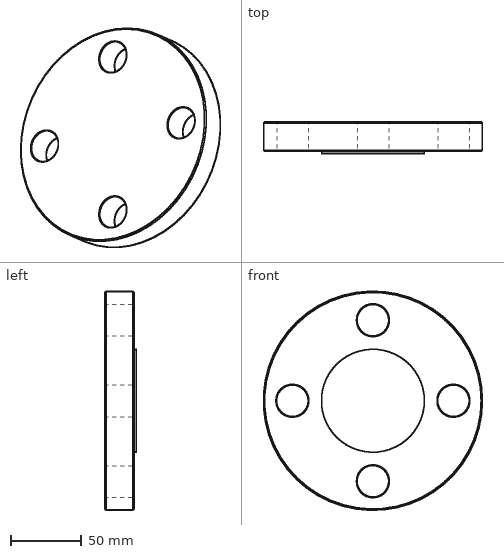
import cadquery as cq

flange_diameter = 155.6
total_thickness = 22.4
raised_face_diameter = 73.1
raised_face_height = 1.5
rim_chamfer = 1.0

bolt_hole_diameter = 22.4
bolt_circle_diameter = 114.4
bolt_hole_count = 4
bolt_hole_chamfer = 0.5

flange_thickness = total_thickness - raised_face_height


def disc(diameter, thickness):
    """Disc on the Y axis, from Y = 0 toward -Y."""
    return cq.Workplane("XZ").circle(diameter / 2).extrude(thickness)


def bolt_hole_cutter():
    """One bolt hole on the Y axis, widened by a chamfer at both flange faces."""
    radius = bolt_hole_diameter / 2
    mouth_radius = radius + bolt_hole_chamfer
    profile = [
        (0, 0),
        (mouth_radius, 0),
        (radius, -bolt_hole_chamfer),
        (radius, -flange_thickness + bolt_hole_chamfer),
        (mouth_radius, -flange_thickness),
        (0, -flange_thickness),
    ]
    return cq.Workplane("XY").polyline(profile).close().revolve(360, (0, 0, 0), (0, 1, 0))


flange = disc(flange_diameter, flange_thickness).edges().chamfer(rim_chamfer)
raised_face = disc(raised_face_diameter, total_thickness)
body = flange.union(raised_face)

first_hole = bolt_hole_cutter().translate((bolt_circle_diameter / 2, 0, 0))
for index in range(bolt_hole_count):
    angle = index * 360 / bolt_hole_count
    body = body.cut(first_hole.rotate((0, 0, 0), (0, 1, 0), angle))

result = body.translate((0, total_thickness / 2, 0))